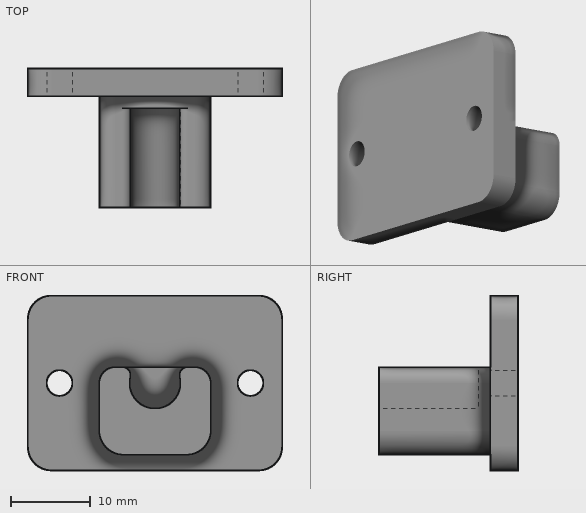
import cadquery as cq
import math

PLATE_WIDTH = 32.0
PLATE_HEIGHT = 22.0
PLATE_THICKNESS = 3.5
PLATE_CORNER_RADIUS = 3.0

HOLE_DIAMETER = 3.2
HOLE_SPACING = 24.0

BLOCK_WIDTH = 14.0
BLOCK_LENGTH = 14.0
BLOCK_TOP = 2.0
BLOCK_BOTTOM = -9.0
BLOCK_TOP_RADIUS = 2.0
BLOCK_BOTTOM_RADIUS = 3.0

CHANNEL_RADIUS = 3.2
LIP_RADIUS = 1.0
CHANNEL_END_WALL = 1.5

PLATE_BACK_Y = PLATE_THICKNESS
CHANNEL_END_Y = -CHANNEL_END_WALL
BLOCK_FRONT_Y = -BLOCK_LENGTH


def xz_plane(y):
    """Sketch plane at the given Y: local x is +X, local y is +Z, extrusion goes to -Y."""
    return cq.Workplane("XZ", origin=(0, y, 0))


def make_plate():
    return (
        xz_plane(PLATE_BACK_Y)
        .rect(PLATE_WIDTH, PLATE_HEIGHT)
        .extrude(PLATE_THICKNESS)
        .edges("|Y")
        .fillet(PLATE_CORNER_RADIUS)
    )


def make_screw_holes():
    return (
        xz_plane(PLATE_BACK_Y)
        .pushPoints([(-HOLE_SPACING / 2, 0), (HOLE_SPACING / 2, 0)])
        .circle(HOLE_DIAMETER / 2)
        .extrude(PLATE_THICKNESS)
    )


def make_block():
    block_height = BLOCK_TOP - BLOCK_BOTTOM
    block_middle = (BLOCK_TOP + BLOCK_BOTTOM) / 2
    block = xz_plane(0).center(0, block_middle).rect(BLOCK_WIDTH, block_height).extrude(BLOCK_LENGTH)
    block = block.edges("|Y and >Z").fillet(BLOCK_TOP_RADIUS)
    return block.edges("|Y and <Z").fillet(BLOCK_BOTTOM_RADIUS)


def make_channel():
    """Round channel whose open top is narrowed by two rounded lips.

    Each lip arc is tangent to the top face of the block and to the channel circle.
    """
    lip_z = BLOCK_TOP - LIP_RADIUS
    center_distance = CHANNEL_RADIUS + LIP_RADIUS
    lip_x = math.sqrt(center_distance**2 - lip_z**2)

    meet_x = lip_x * CHANNEL_RADIUS / center_distance
    meet_z = lip_z * CHANNEL_RADIUS / center_distance

    lip_start_angle = math.pi / 2
    lip_end_angle = math.pi + math.atan2(lip_z, lip_x)
    lip_mid_angle = (lip_start_angle + lip_end_angle) / 2
    mid_x = lip_x + LIP_RADIUS * math.cos(lip_mid_angle)
    mid_z = lip_z + LIP_RADIUS * math.sin(lip_mid_angle)

    return (
        xz_plane(CHANNEL_END_Y)
        .moveTo(-lip_x, BLOCK_TOP)
        .threePointArc((-mid_x, mid_z), (-meet_x, meet_z))
        .threePointArc((0, -CHANNEL_RADIUS), (meet_x, meet_z))
        .threePointArc((mid_x, mid_z), (lip_x, BLOCK_TOP))
        .close()
        .extrude(CHANNEL_END_Y - BLOCK_FRONT_Y)
    )


plate = make_plate().cut(make_screw_holes())
block = make_block().cut(make_channel())
result = plate.union(block)